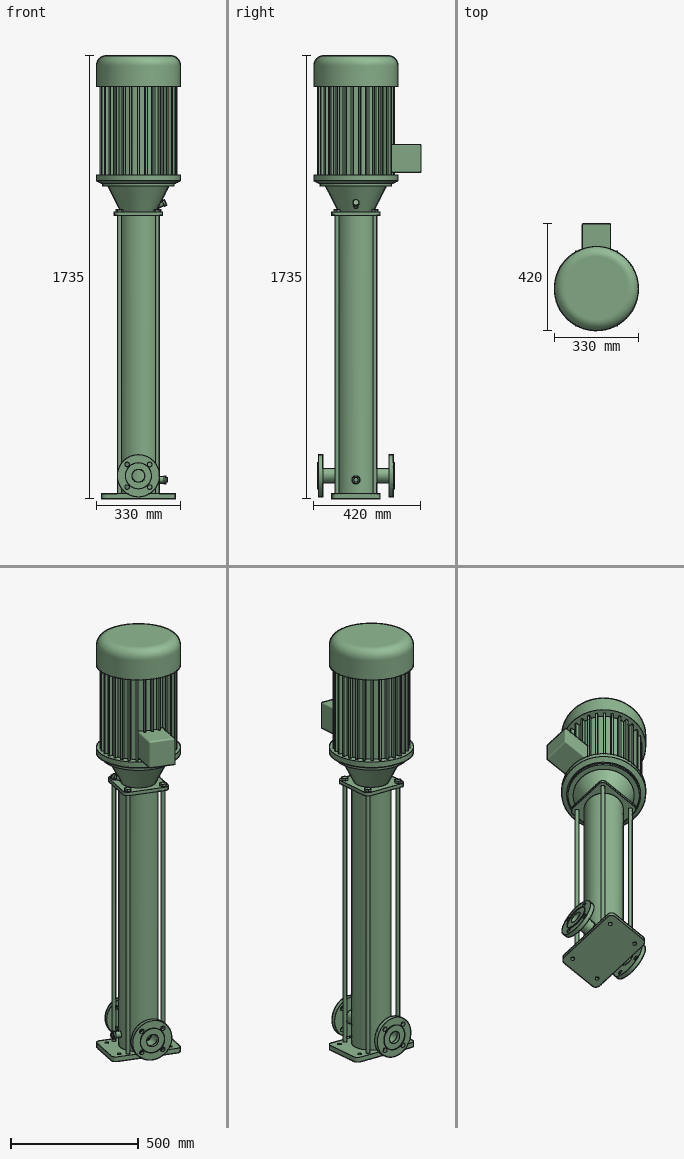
import cadquery as cq
import math


BASE_LENGTH = 290
BASE_WIDTH = 190
BASE_THICKNESS = 20
PLATE_CORNER_RADIUS = 20
ANCHOR_SPACING_X = 215
ANCHOR_SPACING_Y = 130
ANCHOR_HOLE_DIAMETER = 14

COLUMN_DIAMETER = 155
HEAD_PLATE_SIDE = BASE_WIDTH
HEAD_PLATE_TOP = 1123
HEAD_PLATE_THICKNESS = 14
HEAD_PLATE_BOTTOM = HEAD_PLATE_TOP - HEAD_PLATE_THICKNESS
ROD_DIAMETER = 16
ROD_SPACING = 148
NUT_ACROSS_FLATS = 24
NUT_HEIGHT = 9

PORT_HEIGHT = 90
PORT_FACE_SPACING = 300
PIPE_DIAMETER = 57
PIPE_BORE = 50
FLANGE_DIAMETER = 165
FLANGE_THICKNESS = 18
RAISED_FACE_DIAMETER = 102
RAISED_FACE_HEIGHT = 3
FLANGE_BOLT_CIRCLE = 125
FLANGE_BOLT_COUNT = 4
FLANGE_HOLE_DIAMETER = 18

DRAIN_HEIGHT = 74
DRAIN_REACH = 114
DRAIN_NECK_DIAMETER = 27
DRAIN_COLLAR_DIAMETER = 32
DRAIN_COLLAR_LENGTH = 8
DRAIN_HEX_ACROSS_FLATS = 17
DRAIN_HEX_LENGTH = 6

VENT_TILT = 25
VENT_HEAD_X = 102
VENT_HEAD_HEIGHT = 1158
VENT_NECK_DIAMETER = 18
VENT_NECK_LENGTH = 40
VENT_HEAD_DIAMETER = 24
VENT_HEAD_LENGTH = 10

STOOL_BOTTOM_DIAMETER = 137
STOOL_TOP_DIAMETER = 239
STOOL_TOP = 1224
SPIGOT_DIAMETER = 280
SPIGOT_TOP = 1235
BEVEL_END_DIAMETER = 290
MOTOR_DIAMETER = 330
MOTOR_FLANGE_BOTTOM = 1245
MOTOR_FLANGE_TOP = 1268
FAN_COVER_BOTTOM = 1613
MOTOR_TOP = 1735
FAN_COVER_ROUNDING = 40

MOTOR_BODY_DIAMETER = 270
FIN_TIP_DIAMETER = 302
FIN_COUNT = 30
FIN_WIDTH = 8
FIRST_FIN_ANGLE = 180 / FIN_COUNT

BOX_SIDE = 111
BOX_REACH = 255
BOX_CENTER_HEIGHT = 1332
BOX_EDGE_RADIUS = 6


def cylinder(diameter, bottom, top):
    return cq.Workplane("XY").workplane(offset=bottom).circle(diameter / 2).extrude(top - bottom)


def across_corners(across_flats):
    return across_flats / math.cos(math.pi / 6)


def make_base():
    plate = cq.Workplane("XY").rect(BASE_LENGTH, BASE_WIDTH).extrude(BASE_THICKNESS)
    plate = plate.edges("|Z").fillet(PLATE_CORNER_RADIUS)
    return (
        plate.faces(">Z").workplane()
        .rect(ANCHOR_SPACING_X, ANCHOR_SPACING_Y, forConstruction=True)
        .vertices().hole(ANCHOR_HOLE_DIAMETER)
    )


def make_head_plate():
    plate = cq.Workplane("XY").workplane(offset=HEAD_PLATE_BOTTOM)
    plate = plate.rect(HEAD_PLATE_SIDE, HEAD_PLATE_SIDE).extrude(HEAD_PLATE_THICKNESS)
    return plate.edges("|Z").fillet(PLATE_CORNER_RADIUS)


def make_tie_rods():
    rods = (
        cq.Workplane("XY").rect(ROD_SPACING, ROD_SPACING, forConstruction=True)
        .vertices().circle(ROD_DIAMETER / 2).extrude(HEAD_PLATE_TOP)
    )
    nuts = (
        cq.Workplane("XY").workplane(offset=HEAD_PLATE_TOP)
        .rect(ROD_SPACING, ROD_SPACING, forConstruction=True)
        .vertices().polygon(6, across_corners(NUT_ACROSS_FLATS)).extrude(NUT_HEIGHT)
    )
    return rods.union(nuts)


def make_port(side):
    """Flanged pipe from the column, on the +Y (side = 1) or -Y (side = -1) side."""
    face = PORT_FACE_SPACING / 2
    flange_front = face - RAISED_FACE_HEIGHT
    flange_back = flange_front - FLANGE_THICKNESS

    def along_port(distance):
        return cq.Workplane("XZ", origin=(0, side * distance, PORT_HEIGHT))

    port = along_port(0).circle(PIPE_DIAMETER / 2).extrude(-side * face)
    flange = along_port(flange_back).circle(FLANGE_DIAMETER / 2).extrude(-side * FLANGE_THICKNESS)
    raised_face = along_port(flange_front).circle(RAISED_FACE_DIAMETER / 2)
    raised_face = raised_face.extrude(-side * RAISED_FACE_HEIGHT)
    bolt_holes = (
        along_port(flange_back)
        .polarArray(FLANGE_BOLT_CIRCLE / 2, 180 / FLANGE_BOLT_COUNT, 360, FLANGE_BOLT_COUNT)
        .circle(FLANGE_HOLE_DIAMETER / 2).extrude(-side * FLANGE_THICKNESS)
    )
    bore = along_port(0).circle(PIPE_BORE / 2).extrude(-side * face)
    return port.union(flange).union(raised_face).cut(bolt_holes).cut(bore)


def make_drain_plug():
    """Plug pointing to +X: neck from the pump axis, round collar and hexagon end."""
    hex_start = DRAIN_REACH - DRAIN_HEX_LENGTH
    collar_start = hex_start - DRAIN_COLLAR_LENGTH

    def along_plug(distance):
        return cq.Workplane("YZ", origin=(distance, 0, DRAIN_HEIGHT))

    neck = along_plug(0).circle(DRAIN_NECK_DIAMETER / 2).extrude(collar_start)
    collar = along_plug(collar_start).circle(DRAIN_COLLAR_DIAMETER / 2).extrude(DRAIN_COLLAR_LENGTH)
    hexagon = along_plug(hex_start).polygon(6, across_corners(DRAIN_HEX_ACROSS_FLATS))
    return neck.union(collar).union(hexagon.extrude(DRAIN_HEX_LENGTH))


def make_vent_plug():
    """Plug on the +X side of the stool; its neck starts inside the stool."""
    tilt = math.radians(VENT_TILT)
    head_plane = cq.Plane(
        origin=(VENT_HEAD_X, 0, VENT_HEAD_HEIGHT),
        xDir=(0, 1, 0),
        normal=(math.cos(tilt), 0, math.sin(tilt)),
    )
    head = cq.Workplane(head_plane).circle(VENT_HEAD_DIAMETER / 2)
    head = head.extrude(VENT_HEAD_LENGTH / 2, both=True)
    neck = cq.Workplane(head_plane).circle(VENT_NECK_DIAMETER / 2).extrude(-VENT_NECK_LENGTH)
    return head.union(neck)


def make_motor_shell():
    """Stool, motor flange, motor body and fan cover as one turned solid."""
    cover_radius = MOTOR_DIAMETER / 2
    rounding_start = MOTOR_TOP - FAN_COVER_ROUNDING
    diagonal = FAN_COVER_ROUNDING * math.sqrt(0.5)
    rounding_center = cover_radius - FAN_COVER_ROUNDING
    profile = (
        cq.Workplane("XZ")
        .moveTo(0, HEAD_PLATE_TOP)
        .lineTo(STOOL_BOTTOM_DIAMETER / 2, HEAD_PLATE_TOP)
        .lineTo(STOOL_TOP_DIAMETER / 2, STOOL_TOP)
        .lineTo(SPIGOT_DIAMETER / 2, STOOL_TOP)
        .lineTo(SPIGOT_DIAMETER / 2, SPIGOT_TOP)
        .lineTo(BEVEL_END_DIAMETER / 2, SPIGOT_TOP)
        .lineTo(cover_radius, MOTOR_FLANGE_BOTTOM)
        .lineTo(cover_radius, MOTOR_FLANGE_TOP)
        .lineTo(MOTOR_BODY_DIAMETER / 2, MOTOR_FLANGE_TOP)
        .lineTo(MOTOR_BODY_DIAMETER / 2, FAN_COVER_BOTTOM)
        .lineTo(cover_radius, FAN_COVER_BOTTOM)
        .lineTo(cover_radius, rounding_start)
        .threePointArc(
            (rounding_center + diagonal, rounding_start + diagonal),
            (rounding_center, MOTOR_TOP),
        )
        .lineTo(0, MOTOR_TOP)
        .close()
    )
    return profile.revolve(360, (0, 0, 0), (0, 1, 0))


def make_fins():
    fin_root = MOTOR_BODY_DIAMETER / 4
    fin_tip = FIN_TIP_DIAMETER / 2
    return (
        cq.Workplane("XY").workplane(offset=MOTOR_FLANGE_TOP)
        .polarArray((fin_root + fin_tip) / 2, FIRST_FIN_ANGLE, 360, FIN_COUNT)
        .rect(fin_tip - fin_root, FIN_WIDTH).extrude(FAN_COVER_BOTTOM - MOTOR_FLANGE_TOP)
    )


def make_terminal_box():
    box = cq.Workplane("XY").box(BOX_SIDE, BOX_REACH, BOX_SIDE, centered=(True, False, True))
    box = box.edges("|Y or >Y").fillet(BOX_EDGE_RADIUS)
    return box.translate((0, 0, BOX_CENTER_HEIGHT))


result = make_base().union(cylinder(COLUMN_DIAMETER, 0, HEAD_PLATE_BOTTOM))
result = result.union(make_head_plate()).union(make_tie_rods())
result = result.union(make_motor_shell()).union(make_fins()).union(make_terminal_box())
for side in (-1, 1):
    result = result.union(make_port(side))
result = result.union(make_drain_plug()).union(make_vent_plug())